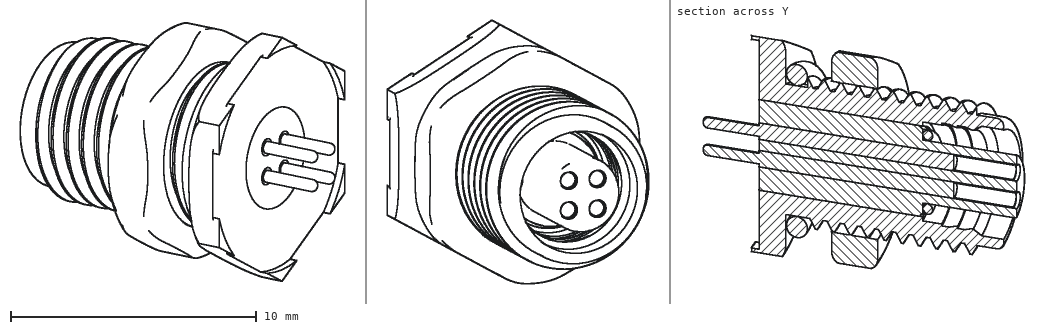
import cadquery as cq
import math


shell_front_x = 0.58
shell_radius = 3.0
shell_nose_fillet = 0.3
thread_start_x = 1.74
thread_pitch = 0.7501
thread_crest_radius = 3.42
thread_crest_width = 0.1
thread_flank_half_angle = 30.0
thread_crest_x = 2.03
thread_root_overlap = 0.05
flange_front_x = 10.07
flange_thickness = 1.52
flange_edge_fillet = 1.0
flange_back_x = flange_front_x + flange_thickness

recess_opening_width = 2.74
recess_depth = 0.33
recess_floor_x = flange_back_x - recess_depth

hex_across_flats = 9.0
hex_across_corners = hex_across_flats * 2 / math.sqrt(3)
recess_radius = math.hypot(hex_across_flats / 2, recess_opening_width / 2)
hex_flat_face_radius = 4.32

mouth_radius = 2.52
mouth_depth = 0.96
throat_radius = 2.29
throat_taper_length = 0.37
latch_land = 0.1
latch_flare_length = 0.27
latch_floor_length = 0.32
latch_groove_depth = 0.08
latch_groove_count = 2
seat_x = 4.11

nut_start_x = 6.07
nut_thickness = 2.03
nut_corner_fillet = 2.51
nut_edge_fillet = 0.5

flange_ring_section_radius = 0.47

carrier_radius = 1.55
carrier_face_fillet = 0.1
key_corner_fillet = 0.08
collar_radius = 2.11
collar_chamfer = 0.12
key_radius = 0.68
key_center_y = 1.89
contact_hole_radius = 0.35

carrier_ring_outer_radius = collar_radius - collar_chamfer
carrier_ring_section_radius = (carrier_ring_outer_radius - carrier_radius) / 2

contact_offset = 0.62
contact_front_x = 0.16
socket_radius = 0.32
socket_end_x = 2.74
tail_radius = 0.25
tail_tip_fillet = 0.2
overall_length = 13.7


def cylinder(start_x, end_x, radius):
    return cq.Workplane("YZ", origin=(start_x, 0, 0)).circle(radius).extrude(end_x - start_x)


def hexagon(start_x, thickness):
    """Hexagonal prism along X with corners on +Z and -Z."""
    plane = cq.Workplane("YZ", origin=(start_x, 0, 0)).transformed(rotate=(0, 0, 90))
    return plane.polygon(6, hex_across_corners).extrude(thickness)


def ring(center_x, center_radius, section_radius):
    """Round-section ring about the X axis."""
    section = cq.Workplane("XY", origin=(center_x, center_radius, 0)).circle(section_radius)
    return section.revolve(360, (0, -center_radius, 0), (1, -center_radius, 0))


def make_thread():
    """Right-handed helical ridge, cut off square at both ends."""
    end_x = flange_front_x - 2 * flange_ring_section_radius
    root_radius = shell_radius - thread_root_overlap
    helix_start_x = thread_crest_x - thread_pitch
    turns = math.ceil((end_x - helix_start_x) / thread_pitch)

    half_crest = thread_crest_width / 2
    flank_slope = math.tan(math.radians(thread_flank_half_angle))
    half_root = half_crest + (thread_crest_radius - root_radius) * flank_slope
    section = cq.Workplane("XZ").polyline(
        [
            (root_radius, -half_root),
            (thread_crest_radius, -half_crest),
            (thread_crest_radius, half_crest),
            (root_radius, half_root),
        ]
    ).close()
    helix = cq.Workplane(cq.Wire.makeHelix(thread_pitch, turns * thread_pitch, root_radius))
    ridge = section.sweep(helix, isFrenet=True)
    ridge = ridge.rotate((0, 0, 0), (0, 1, 0), 90).translate((helix_start_x, 0, 0))
    return ridge.intersect(cylinder(thread_start_x, end_x, 2 * thread_crest_radius))


def make_flange():
    rounded = cylinder(flange_front_x, flange_back_x, hex_flat_face_radius + flange_edge_fillet)
    rounded = rounded.faces("<X").edges().fillet(flange_edge_fillet)
    flange = rounded.intersect(hexagon(flange_front_x, flange_thickness))
    return flange.cut(cylinder(recess_floor_x, flange_back_x, recess_radius))


def make_bore():
    """Mouth, taper, latch grooves and the narrower seat for the carrier, as one turned shape."""
    x = shell_front_x + mouth_depth
    outline = cq.Workplane("XY").moveTo(shell_front_x, 0).lineTo(shell_front_x, mouth_radius)
    outline = outline.lineTo(x, mouth_radius)
    x += throat_taper_length
    outline = outline.lineTo(x, throat_radius)
    for _ in range(latch_groove_count):
        x += latch_land
        outline = outline.lineTo(x, throat_radius)
        x += latch_flare_length
        outline = outline.lineTo(x, throat_radius + latch_groove_depth)
        x += latch_floor_length
        outline = outline.lineTo(x, throat_radius + latch_groove_depth).lineTo(x, throat_radius)
    outline = outline.lineTo(seat_x, throat_radius).lineTo(seat_x, collar_radius)
    outline = outline.lineTo(flange_back_x, collar_radius).lineTo(flange_back_x, 0).close()
    return outline.revolve(360, (0, 0, 0), (1, 0, 0))


def make_shell():
    barrel = cylinder(shell_front_x, recess_floor_x, shell_radius)
    barrel = barrel.faces("<X").edges().fillet(shell_nose_fillet)
    return barrel.union(make_thread()).union(make_flange()).cut(make_bore())


def make_nut():
    nut = hexagon(nut_start_x, nut_thickness).edges("|X").fillet(nut_corner_fillet)
    end_x = nut_start_x + nut_thickness
    rounded = cylinder(nut_start_x, end_x, hex_flat_face_radius + nut_edge_fillet)
    rounded = rounded.edges("%CIRCLE").fillet(nut_edge_fillet)
    return nut.intersect(rounded).cut(cylinder(nut_start_x, end_x, thread_crest_radius))


def contact_centers():
    return [(y, z) for y in (-contact_offset, contact_offset) for z in (-contact_offset, contact_offset)]


def make_carrier():
    """Keyed plug with a collar behind it and a socket hole for each contact."""
    key_groove = cylinder(0, seat_x, key_radius).translate((0, key_center_y, 0))
    plug = cylinder(0, seat_x, carrier_radius).cut(key_groove)
    plug = plug.edges("|X").edges(">Z or <Z").fillet(key_corner_fillet)
    plug = plug.faces("<X").edges().fillet(carrier_face_fillet)
    collar = cylinder(seat_x, recess_floor_x, collar_radius)
    collar = collar.faces("<X").edges().chamfer(collar_chamfer)
    carrier = plug.union(collar)
    hole = cylinder(0, recess_floor_x, contact_hole_radius)
    for y, z in contact_centers():
        carrier = carrier.cut(hole.translate((0, y, z)))
    return carrier


def make_contact(y, z):
    """Socket sleeve filling its hole in the carrier, with a thinner solder tail."""
    sleeve = cylinder(contact_front_x, recess_floor_x, contact_hole_radius)
    sleeve = sleeve.cut(cylinder(contact_front_x, socket_end_x, socket_radius))
    tail = cylinder(recess_floor_x, overall_length, tail_radius)
    tail = tail.faces(">X").edges().fillet(tail_tip_fillet)
    return sleeve.union(tail).translate((0, y, z))


shell = make_shell()
nut = make_nut()
flange_ring = ring(
    flange_front_x - flange_ring_section_radius,
    shell_radius + flange_ring_section_radius,
    flange_ring_section_radius,
)
carrier = make_carrier()
carrier_ring = ring(
    seat_x - carrier_ring_section_radius,
    carrier_radius + carrier_ring_section_radius,
    carrier_ring_section_radius,
)
contacts = [make_contact(y, z) for y, z in contact_centers()]

result = cq.Compound.makeCompound(
    [
        shell.val(),
        nut.val(),
        flange_ring.val(),
        carrier.val(),
        carrier_ring.val(),
        *[contact.val() for contact in contacts],
    ]
)